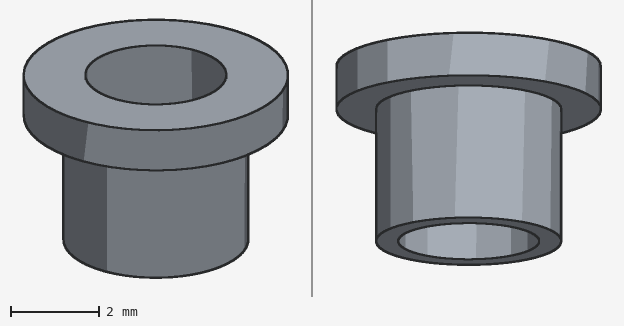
import cadquery as cq

flange_diameter = 6.0
sleeve_diameter = 4.2
bore_diameter = 3.2
total_height = 4.1
flange_thickness = 1.0

sleeve_height = total_height - flange_thickness

sleeve = cq.Workplane("XY").circle(sleeve_diameter / 2).extrude(sleeve_height)

flange = (
    cq.Workplane("XY")
    .workplane(offset=sleeve_height)
    .circle(flange_diameter / 2)
    .extrude(flange_thickness)
)

bore = cq.Workplane("XY").circle(bore_diameter / 2).extrude(total_height)

result = sleeve.union(flange).cut(bore)